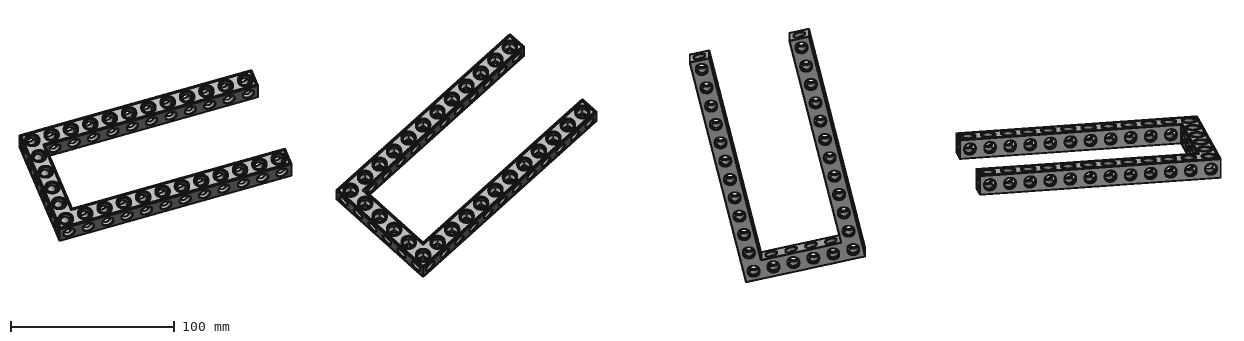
import cadquery as cq

length = 150.0
long_count = 12
short_count = 6
pitch = length / long_count
width = short_count * pitch
beam = pitch

hole_diameter = 7.0
hole_chamfer = 0.27
edge_chamfer = 0.3

rim_diameter = 9.2
rim_width = 1.1
recess_depth = 0.21

column_x = [(i + 0.5) * pitch - width / 2 for i in range(short_count)]
row_y = [(i + 0.5) * pitch - length / 2 for i in range(long_count)]
leg_x = [column_x[0], column_x[-1]]
leg_y = row_y[1:]
crossbar_x = column_x[1:-1]
crossbar_y = row_y[0]
vertical_axes = [(x, y) for x in leg_x for y in row_y] + [(x, crossbar_y) for x in crossbar_x]

x_axis = (1, 0, 0)
y_axis = (0, 1, 0)
z_axis = (0, 0, 1)


def u_plate(inset, height):
    """U-shaped plate open towards +Y, centred on the origin, shrunk by inset on all sides."""
    outer = cq.Workplane("XY").box(width - 2 * inset, length - 2 * inset, height)
    opening = cq.Workplane("XY").box(width - 2 * beam + 2 * inset, length, height)
    return outer.cut(opening.translate((0, beam - inset, 0)))


def hole_cutter(depth):
    """Hole-shaped solid along Z, centred on the origin, flared by the chamfer at both ends."""
    radius = hole_diameter / 2
    mouth_radius = radius + hole_chamfer
    end = depth / 2
    return (
        cq.Workplane("XZ")
        .moveTo(0, -end)
        .lineTo(mouth_radius, -end)
        .lineTo(radius, -end + hole_chamfer)
        .lineTo(radius, end - hole_chamfer)
        .lineTo(mouth_radius, end)
        .lineTo(0, end)
        .close()
        .revolve(360, (0, 0), (0, 1))
        .val()
    )


def cut_holes(body, direction, depth, centers):
    """Cut parallel holes of the given depth, each centred on one of the points."""
    cutter = hole_cutter(depth)
    planes = [cq.Plane(origin=center, normal=direction) for center in centers]
    cutters = [cutter.moved(cq.Location(plane)) for plane in planes]
    return body.cut(cq.Workplane(cq.Compound.makeCompound(cutters)))


def cut_top_recess(body):
    """Lower the top surface between the edge rims and the rims around the holes."""
    rims = cq.Workplane("XY").pushPoints(vertical_axes).circle(rim_diameter / 2)
    pocket = u_plate(rim_width, 2 * recess_depth).cut(rims.extrude(recess_depth, both=True))
    return body.cut(pocket.translate((0, 0, beam / 2)))


frame = u_plate(0, beam).edges().chamfer(edge_chamfer)

frame = cut_holes(frame, z_axis, beam, [(x, y, 0) for x, y in vertical_axes])

frame = cut_holes(frame, x_axis, beam, [(x, y, 0) for x in leg_x for y in leg_y])
frame = cut_holes(frame, x_axis, width, [(0, crossbar_y, 0)])

frame = cut_holes(frame, y_axis, beam, [(x, crossbar_y, 0) for x in crossbar_x])
frame = cut_holes(frame, y_axis, length, [(x, 0, 0) for x in leg_x])

result = cut_top_recess(frame)